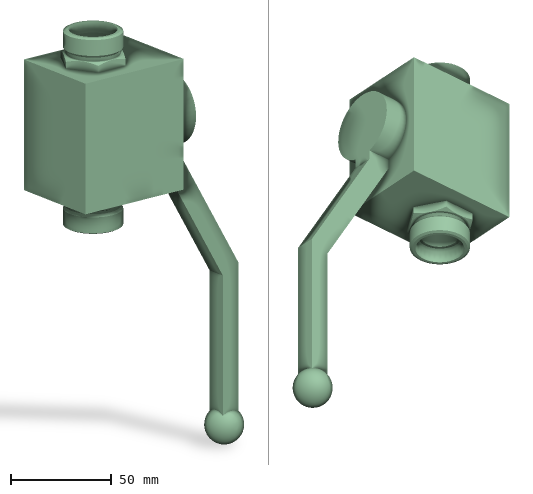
import cadquery as cq
import math

block_width = 49.0
block_depth = 62.5
block_height = 68.5
front_face = -block_width / 2
back_face = front_face + block_depth
block_top = block_height / 2

thread_diameter = 30.0
neck_diameter = 27.5
thread_step = (thread_diameter - neck_diameter) / 2
end_chamfer_height = 0.7
hex_flats = 30.0
hex_height = 5.0
hex_chamfer_angle = 30
neck_height = 1.9
fitting_height = 17.1

bore_diameter = 19.0
seat_diameter = 22.0
mouth_diameter = 24.5
cone_depth = 5.5
seat_depth = 7.5

hub_diameter = 37.0
hub_height = 12.7
hub_face = back_face + hub_height

lever_width = 10.5
lever_thickness = 10.0
sloped_thickness = 11.0
lever_angle = 30
upper_bend_z = -22.7
knob_diameter = 20.0
overall_depth = 118.0
overall_height = 234.5
fitting_end = block_top + fitting_height
knob_y = front_face + overall_depth - knob_diameter / 2
knob_z = fitting_end - overall_height + knob_diameter / 2


def make_hex_collar():
    """Hexagon with corners along Y and a conical chamfer on its outer end."""
    corner_diameter = hex_flats / math.cos(math.radians(30))
    corner_radius = corner_diameter / 2
    chamfer_drop = (corner_radius - hex_flats / 2) * math.tan(math.radians(hex_chamfer_angle))
    hexagon = (
        cq.Workplane("XY")
        .polygon(6, corner_diameter)
        .extrude(hex_height)
        .rotate((0, 0, 0), (0, 0, 1), 30)
    )
    chamfer_envelope = (
        cq.Workplane("XY")
        .circle(corner_radius)
        .extrude(hex_height)
        .faces(">Z")
        .chamfer(chamfer_drop, corner_radius - hex_flats / 2)
    )
    return hexagon.intersect(chamfer_envelope)


def make_fitting():
    """Upper fitting: hexagon, neck and thread chamfered at both ends."""
    thread_base = hex_height + neck_height
    neck = cq.Workplane("XY").circle(neck_diameter / 2).extrude(thread_base)
    thread = (
        cq.Workplane("XY", origin=(0, 0, thread_base))
        .circle(thread_diameter / 2)
        .extrude(fitting_height - thread_base)
        .faces(">Z")
        .chamfer(end_chamfer_height, thread_step)
        .faces("<Z")
        .chamfer(thread_step)
    )
    return make_hex_collar().union(neck).union(thread).translate((0, 0, block_top))


def make_seat():
    """Tapered recess at the upper mouth of the bore, with a short straight socket below it."""
    cone = (
        cq.Workplane("XY", origin=(0, 0, fitting_end - cone_depth))
        .circle(seat_diameter / 2)
        .workplane(offset=cone_depth)
        .circle(mouth_diameter / 2)
        .loft()
    )
    socket = (
        cq.Workplane("XY", origin=(0, 0, fitting_end - seat_depth))
        .circle(seat_diameter / 2)
        .extrude(seat_depth)
    )
    return cone.union(socket)


def make_lever():
    """Flat bar leaving the hub, sloping outward, then hanging straight down."""
    slope = math.tan(math.radians(lever_angle))
    sloped_height = sloped_thickness / math.sin(math.radians(lever_angle))
    outer_y = knob_y + lever_thickness / 2
    inner_y = knob_y - lever_thickness / 2
    outer_bend_z = upper_bend_z - (outer_y - hub_face) / slope
    inner_bend_z = outer_bend_z + lever_thickness / slope - sloped_height
    root_z = inner_bend_z + (inner_y - back_face) / slope
    outline = [
        (hub_face, 0),
        (hub_face, upper_bend_z),
        (outer_y, outer_bend_z),
        (outer_y, knob_z),
        (inner_y, knob_z),
        (inner_y, inner_bend_z),
        (back_face, root_z),
        (back_face, 0),
    ]
    return cq.Workplane("YZ").polyline(outline).close().extrude(lever_width / 2, both=True)


block = cq.Workplane("XY").box(block_width, block_depth, block_height)
block = block.translate((0, (front_face + back_face) / 2, 0))
hub = cq.Workplane("XZ", origin=(0, back_face, 0)).circle(hub_diameter / 2).extrude(-hub_height)
knob = cq.Workplane("XY").sphere(knob_diameter / 2).translate((0, knob_y, knob_z))
fitting = make_fitting()
seat = make_seat()
bore = cq.Workplane("XY").circle(bore_diameter / 2).extrude(fitting_end, both=True)

result = block.union(hub).union(make_lever()).union(knob)
result = result.union(fitting).union(fitting.mirror("XY"))
result = result.cut(bore).cut(seat).cut(seat.mirror("XY"))